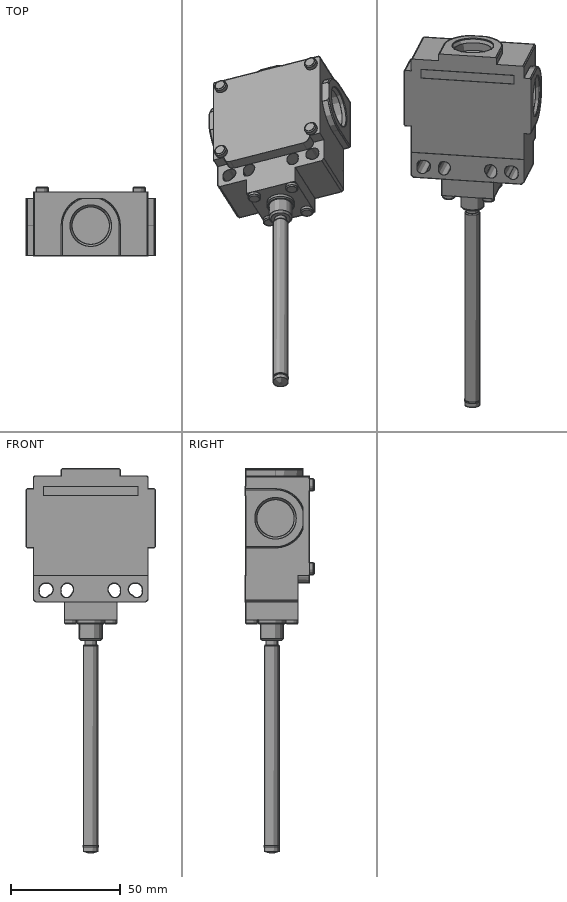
import cadquery as cq

total_height = 175.4

body_width = 52.3
body_depth = 29.1
boss_height = 3.3
body_top = total_height - boss_height
body_bottom = 114.5
lower_depth = 24.0
cover_bottom = 126.6
tongue_width = 42.1
tongue_bottom = 123.3
tongue_radius = 3.2
top_chamfer = 0.5
bottom_chamfer = 1.0

raised_height = 0.2
label_width = 43.1
label_height = 4.2
label_center_z = 165.2
foot_top = 126.6

boss_radius = 13.5
entry_center_y = 13.7
entry_center_z = 152.8
boss_back = 26.1
boss_chamfer = 0.5
bore_diameter = 17.0
mouth_diameter = 19.0
bore_depth = 5.6
mouth_depth = 0.5
cone_depth = 1.4

upper_hole_diameter = 5.6
upper_hole_z = 120.3
lower_hole_diameter = 4.9
lower_hole_z = 119.1
inner_hole_x = 10.7
outer_hole_x = 20.3
outer_slot_length = 6.3
inner_lower_x = 11.0
outer_lower_x = 21.0

screw_diameter = 5.6
screw_edge = 0.5
cover_screw_height = 2.3
cover_screw_x = 22.1
cover_screw_rows = (168.0, 129.8)

head_width = 24.0
head_bottom = 106.5
head_screw_height = 2.0
head_screw_x = (head_width - screw_diameter) / 2
head_screw_y = (lower_depth - screw_diameter) / 2

lever_y = lower_depth / 2
collar_diameter = 12.6
collar_bottom = head_bottom - head_screw_height
collar_chamfer = 0.5
stem_diameter = 10.5
stem_bottom = 97.0
stem_chamfer = 0.9
neck_diameter = 5.5
rod_diameter = 6.8
rod_top = 95.0
rod_chamfer = 0.5
ring_diameter = 7.0
ring_bottom = 2.8
ring_height = 0.7
tip_rim_z = 0.9
dome_flat_diameter = 1.0


def make_block(width, depth, bottom, top):
    """Box centred on X with its front on the mounting face."""
    return (
        cq.Workplane("XY", origin=(0, depth / 2, bottom))
        .box(width, depth, top - bottom, centered=(True, True, False))
    )


def make_housing():
    lower = make_block(body_width, lower_depth, body_bottom, body_top)
    lower = lower.faces("<Z").edges("|Y").chamfer(bottom_chamfer)
    upper = make_block(body_width, body_depth, cover_bottom, body_top)
    tongue = make_block(tongue_width, body_depth, tongue_bottom, body_top)
    tongue = tongue.faces("<Z").edges("|Y").fillet(tongue_radius)
    housing = lower.union(upper).union(tongue)
    return housing.faces(">Z").edges("|Y").chamfer(top_chamfer)


def make_raised_areas():
    label = (
        cq.Workplane("XZ", origin=(0, 0, label_center_z))
        .rect(label_width, label_height)
        .extrude(raised_height)
    )
    foot = (
        make_block(body_width, lower_depth, body_bottom, foot_top)
        .faces("<Z")
        .edges("|Y")
        .chamfer(bottom_chamfer)
        .translate((0, -raised_height, 0))
    )
    return label.union(foot)


def entry_plane(axis, side):
    """Plane on the outer boss face, local X along +Y and normal pointing outward."""
    if axis == "Z":
        return cq.Plane(origin=(0, entry_center_y, total_height), xDir=(0, 1, 0), normal=(0, 0, 1))
    face_x = side * (body_width / 2 + boss_height)
    return cq.Plane(origin=(face_x, entry_center_y, entry_center_z), xDir=(0, 1, 0), normal=(side, 0, 0))


def make_boss(plane):
    """Chamfered round-ended pad, cut flush with the mounting face and with its rear flat."""
    front_length = 2 * boss_radius
    round_end = cq.Workplane(plane).circle(boss_radius).extrude(-boss_height)
    straight = (
        cq.Workplane(plane)
        .center(-front_length / 2, 0)
        .rect(front_length, 2 * boss_radius)
        .extrude(-boss_height)
    )
    outer_face = cq.selectors.DirectionMinMaxSelector(plane.zDir)
    pad = round_end.union(straight).faces(outer_face).chamfer(boss_chamfer)
    trim = (
        cq.Workplane(plane)
        .center(boss_back / 2 - entry_center_y, 0)
        .rect(boss_back, 2 * boss_radius)
        .extrude(-boss_height)
    )
    return pad.intersect(trim)


def make_bore(plane):
    """Blind bore entered through a short counterbore and a cone."""
    bore = cq.Workplane(plane).circle(bore_diameter / 2).extrude(-bore_depth)
    mouth = cq.Workplane(plane).circle(mouth_diameter / 2).extrude(-mouth_depth)
    cone = (
        cq.Workplane(plane)
        .workplane(offset=-mouth_depth)
        .circle(mouth_diameter / 2)
        .workplane(offset=-cone_depth)
        .circle(bore_diameter / 2)
        .loft()
    )
    return bore.union(mouth).union(cone)


def make_mounting_holes():
    """Two overlapping hole patterns; the outer upper holes are short slots."""
    start_y = -2 * raised_height
    length = body_depth - 2 * start_y
    plane = cq.Workplane("XZ", origin=(0, start_y, 0))
    inner = (
        plane.pushPoints([(side * inner_hole_x, upper_hole_z) for side in (-1, 1)])
        .circle(upper_hole_diameter / 2)
        .extrude(-length)
    )
    outer = (
        plane.pushPoints([(side * outer_hole_x, upper_hole_z) for side in (-1, 1)])
        .slot2D(outer_slot_length, upper_hole_diameter)
        .extrude(-length)
    )
    lower_points = [(side * x, lower_hole_z) for side in (-1, 1) for x in (inner_lower_x, outer_lower_x)]
    lower = (
        plane.pushPoints(lower_points)
        .circle(lower_hole_diameter / 2)
        .extrude(-length)
    )
    return inner.union(outer).union(lower)


def make_cover_screws():
    points = [(side * cover_screw_x, z) for side in (-1, 1) for z in cover_screw_rows]
    return (
        cq.Workplane("XZ", origin=(0, body_depth, 0))
        .pushPoints(points)
        .circle(screw_diameter / 2)
        .extrude(-cover_screw_height)
        .faces(">Y")
        .edges()
        .chamfer(screw_edge)
    )


def make_head():
    block = make_block(head_width, lower_depth, head_bottom, body_bottom)
    screws = (
        cq.Workplane("XY", origin=(0, lever_y, head_bottom))
        .rect(2 * head_screw_x, 2 * head_screw_y, forConstruction=True)
        .vertices()
        .circle(screw_diameter / 2)
        .extrude(-head_screw_height)
        .faces("<Z")
        .edges()
        .chamfer(screw_edge)
    )
    return block.union(screws)


def make_lever():
    """Revolved half profile, from the collar down to the domed rod tip."""
    collar_r = collar_diameter / 2
    stem_r = stem_diameter / 2
    neck_r = neck_diameter / 2
    rod_r = rod_diameter / 2
    ring_r = ring_diameter / 2
    ring_top = ring_bottom + ring_height
    profile = [
        (0, head_bottom),
        (collar_r, head_bottom),
        (collar_r, collar_bottom + collar_chamfer),
        (collar_r - collar_chamfer, collar_bottom),
        (stem_r, collar_bottom),
        (stem_r, stem_bottom + stem_chamfer),
        (stem_r - stem_chamfer, stem_bottom),
        (neck_r, stem_bottom),
        (neck_r, rod_top),
        (rod_r - rod_chamfer, rod_top),
        (rod_r, rod_top - rod_chamfer),
        (rod_r, ring_top),
        (ring_r, ring_top),
        (ring_r, ring_bottom),
        (rod_r, ring_bottom),
        (rod_r, tip_rim_z),
        (dome_flat_diameter / 2, 0),
        (0, 0),
    ]
    return (
        cq.Workplane("XZ", origin=(0, lever_y, 0))
        .polyline(profile)
        .close()
        .revolve(360, (0, 0), (0, 1))
    )


entries = [entry_plane("Z", 1), entry_plane("X", -1), entry_plane("X", 1)]

result = make_housing().union(make_raised_areas())
for entry in entries:
    result = result.union(make_boss(entry))
for entry in entries:
    result = result.cut(make_bore(entry))
result = (
    result.cut(make_mounting_holes())
    .union(make_cover_screws())
    .union(make_head())
    .union(make_lever())
)